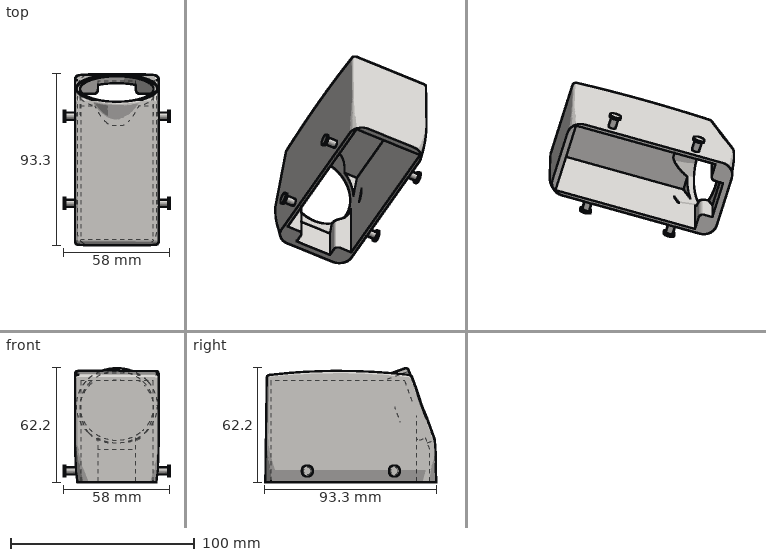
import cadquery as cq
import math

entry_tilt = 20.0
tilt_tan = math.tan(math.radians(entry_tilt))
tilt_cos = math.cos(math.radians(entry_tilt))
slope_start_z = 23.3
slope_start_y = 45.7

half_width = 22.9
base_half_width = 21.55
base_half_length = 46.65
skirt_back_y = 46.3
front_draft = 0.8
skirt_z = 6.6
skirt_half_width = 22.3
skirt_corner_radius = 5.4
waist_z = 14.9
waist_half_width = 22.7
waist_corner_radius = 3.0
base_corner_radius = 7.5
upper_corner_radius = 2.0
top_edge_radius = 1.9
cut_clearance = 9.3
column_top_z = 65.3

roof_peak_y = -6.5
roof_peak_z = 60.8
roof_half_chord = 39.2
roof_drop = 2.4

entry_y = 38.5
entry_radius = 20.1
collar_radius = 22.4
collar_rim_radius = 1.7
collar_root_radius = 1.4
collar_root_y = 24.3
collar_length = 13.1
spotface_radius = 22.0
spotface_depth = 0.5
entry_depth = 14.0

cavity_half_width = 19.6
cavity_front_y = -43.4
cavity_ceiling_z = 55.5
cavity_back_y = 42.9
entry_wall = 4.0
post_face_y = 35.8
post_inner_x = 10.3
post_edge_radius = 2.3

pin_y = 23.7
pin_z = 6.25
pin_radius = 2.05
pin_head_radius = 3.1
pin_head_thickness = 1.1
pin_tip_x = 29.0
pin_root_x = 20.5


def slope_y(z):
    """Y of the entry face at height z."""
    return slope_start_y - (z - slope_start_z) * tilt_tan


def shell_section(z, half_x, back_y, corner):
    """Rounded rectangle at height z, with its -Y side on the drafted front."""
    front_y = -base_half_length + z * math.tan(math.radians(front_draft))
    return (
        cq.Sketch()
        .push([(0, (front_y + back_y) / 2)])
        .rect(2 * half_x, back_y - front_y)
        .reset()
        .vertices()
        .fillet(corner)
        .moved(cq.Location(cq.Vector(0, 0, z)))
    )


base_section = shell_section(0, base_half_width, base_half_length, base_corner_radius)
skirt_section = shell_section(skirt_z, skirt_half_width, skirt_back_y, skirt_corner_radius)
waist_section = shell_section(waist_z, waist_half_width, skirt_back_y, waist_corner_radius)
slope_section = shell_section(slope_start_z, half_width, slope_start_y, upper_corner_radius)
column_section = shell_section(column_top_z, half_width, slope_y(column_top_z), upper_corner_radius)


def make_lower_shell():
    """Base band and the flared skirt whose corners tighten up to the entry face."""
    base_band = cq.Workplane().placeSketch(base_section, skirt_section).loft(ruled=True)
    skirt = cq.Workplane().placeSketch(skirt_section, waist_section, slope_section).loft()
    return base_band.union(skirt)


def make_upper_shell():
    """Walls above the skirt, leaning along the entry face and trimmed by the arched roof."""
    walls = cq.Workplane().placeSketch(slope_section, column_section).loft(ruled=True)
    roof_radius = (roof_half_chord**2 + roof_drop**2) / (2 * roof_drop)
    under_roof = cq.Workplane("YZ").center(roof_peak_y, roof_peak_z - roof_radius)
    under_roof = under_roof.circle(roof_radius).extrude(half_width + cut_clearance, both=True)
    trimmed = walls.intersect(under_roof)
    return trimmed.faces(">Z").edges().fillet(top_edge_radius)


def entry_plane(depth):
    """Plane parallel to the entry face, sunk by depth, centred on the cable entry with +Z outward."""
    sunk_y = slope_start_y - spotface_depth / tilt_cos
    centre_z = slope_start_z + (sunk_y - entry_y) / tilt_tan
    normal = (0, tilt_cos, math.sin(math.radians(entry_tilt)))
    face = cq.Plane(origin=(0, entry_y, centre_z), xDir=(-1, 0, 0), normal=normal)
    return cq.Workplane(face).workplane(offset=-depth)


def add_collar(body):
    """Spotface on the entry face and the round collar that rises above the roof behind it."""
    spotface = entry_plane(0).circle(spotface_radius).extrude(cut_clearance)
    collar = entry_plane(collar_length).circle(collar_radius).extrude(collar_length)
    collar = collar.faces(">Y").edges().fillet(collar_rim_radius)
    joined = body.cut(spotface).union(collar)
    collar_root = cq.selectors.NearestToPointSelector((0, collar_root_y, roof_peak_z))
    return joined.edges(collar_root).fillet(collar_root_radius)


def make_cavity():
    """Interior open at the bottom, narrowed at the entry end by two full-height posts."""
    inner_y = slope_start_y - (spotface_depth + entry_wall) / tilt_cos
    knee_z = slope_start_z + (inner_y - cavity_back_y) / tilt_tan
    ceiling_y = cavity_back_y - (cavity_ceiling_z - knee_z) * tilt_tan
    cavity = (
        cq.Workplane("YZ")
        .moveTo(cavity_front_y, 0)
        .lineTo(cavity_back_y, 0)
        .lineTo(cavity_back_y, knee_z)
        .lineTo(ceiling_y, cavity_ceiling_z)
        .lineTo(cavity_front_y, cavity_ceiling_z)
        .close()
        .extrude(cavity_half_width, both=True)
    )
    for side in (-1, 1):
        post = (
            cq.Workplane()
            .center(side * (post_inner_x + half_width) / 2, (post_face_y + base_half_length) / 2)
            .rect(half_width - post_inner_x, base_half_length - post_face_y)
            .extrude(column_top_z)
            .edges(cq.selectors.NearestToPointSelector((side * post_inner_x, post_face_y, column_top_z / 2)))
            .fillet(post_edge_radius)
        )
        cavity = cavity.cut(post)
    return cavity


def make_pin(side, y):
    """Headed pin on one side wall."""
    base = cq.Workplane("YZ", origin=(side * pin_root_x, y, pin_z))
    shaft = base.circle(pin_radius).extrude(side * (pin_tip_x - pin_root_x))
    head = base.workplane(offset=side * (pin_tip_x - pin_root_x)).circle(pin_head_radius)
    return shaft.union(head.extrude(-side * pin_head_thickness))


def make_entry_bore():
    """Round bore square to the entry face, breaking into the cavity."""
    return entry_plane(entry_depth).circle(entry_radius).extrude(entry_depth + cut_clearance)


shell = make_lower_shell().union(make_upper_shell())
result = add_collar(shell).cut(make_cavity()).cut(make_entry_bore())
for side in (-1, 1):
    for y in (-pin_y, pin_y):
        result = result.union(make_pin(side, y))